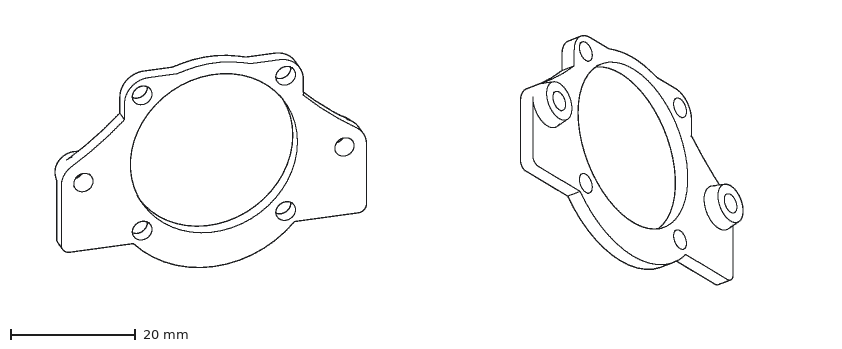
import cadquery as cq
import math

plate_thickness = 2.55
boss_height = 2.45
half_width = 25.6
rim_radius = 18.1
bore_diameter = 28.0
bore_center_z = 2.05

boss_base_diameter = 7.4
boss_base_radius = boss_base_diameter / 2
boss_tip_radius = 3.2
boss_hole_diameter = 3.2
boss_y = half_width - boss_base_radius

screw_hole_diameter = 3.3
screw_offset = 12.05

ear_half_width = 15.0
ear_top_z = 17.1
ear_corner_radius = 4.05
ear_side_bottom_z = 10.2
shoulder_angle = math.radians(57.4)

crest_half_width = 4.8

foot_z = -12.1
foot_corner_radius = 1.45


def on_circle(center_y, center_z, radius, angle):
    return (center_y + radius * math.cos(angle), center_z + radius * math.sin(angle))


def make_half_outline():
    """Outline of the +Y half of the flange, closed along the Z axis."""
    ear_arc_y = ear_half_width - ear_corner_radius
    ear_arc_z = ear_top_z - ear_corner_radius
    foot_arc_y = half_width - foot_corner_radius
    foot_arc_z = foot_z + foot_corner_radius
    shoulder_start = on_circle(boss_y, 0, boss_base_radius, shoulder_angle)
    crest_z = math.sqrt(rim_radius**2 - crest_half_width**2)
    ramp_slope = crest_half_width / crest_z
    ramp_foot_y = crest_half_width + (crest_z - ear_top_z) / ramp_slope
    return (
        cq.Workplane("YZ")
        .moveTo(0, foot_z)
        .lineTo(foot_arc_y, foot_z)
        .threePointArc(
            on_circle(foot_arc_y, foot_arc_z, foot_corner_radius, -math.pi / 4),
            (half_width, foot_arc_z),
        )
        .lineTo(half_width, 0)
        .threePointArc(
            on_circle(boss_y, 0, boss_base_radius, shoulder_angle / 2),
            shoulder_start,
        )
        .tangentArcPoint((ear_half_width, ear_side_bottom_z), relative=False)
        .lineTo(ear_half_width, ear_arc_z)
        .threePointArc(
            on_circle(ear_arc_y, ear_arc_z, ear_corner_radius, math.pi / 4),
            (ear_arc_y, ear_top_z),
        )
        .lineTo(ramp_foot_y, ear_top_z)
        .lineTo(crest_half_width, crest_z)
        .lineTo(0, crest_z)
        .close()
    )


def make_plate():
    half_flange = make_half_outline().extrude(plate_thickness)
    rim = cq.Workplane("YZ").circle(rim_radius).extrude(plate_thickness)
    return rim.union(half_flange).union(half_flange.mirror("XZ"))


def make_boss(y):
    return cq.Workplane(
        cq.Solid.makeCone(
            boss_base_radius, boss_tip_radius, boss_height,
            pnt=cq.Vector(0, y, 0), dir=cq.Vector(-1, 0, 0),
        )
    )


def make_hole(y, z, diameter):
    """Cutter running through the bosses and the plate."""
    return (
        cq.Workplane("YZ", origin=(-boss_height, y, z))
        .circle(diameter / 2)
        .extrude(boss_height + plate_thickness)
    )


result = make_plate()

for side in (-1, 1):
    result = result.union(make_boss(side * boss_y))

result = result.cut(make_hole(0, bore_center_z, bore_diameter))

for side in (-1, 1):
    result = result.cut(make_hole(side * boss_y, 0, boss_hole_diameter))
    for level in (-1, 1):
        screw_z = bore_center_z + level * screw_offset
        result = result.cut(make_hole(side * screw_offset, screw_z, screw_hole_diameter))